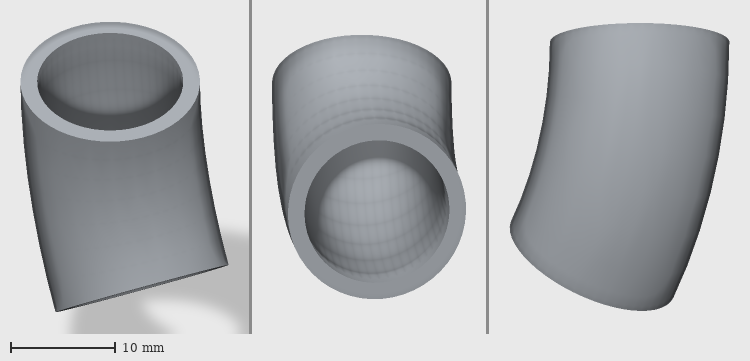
import cadquery as cq
import math

height = 25.88
outer_diameter = 17.2
wall = 1.6
bend_angle = 45.0

inner_diameter = outer_diameter - 2 * wall
bend_radius = height / math.sin(math.radians(bend_angle)) - outer_diameter / 2

result = (
    cq.Workplane("XY")
    .circle(outer_diameter / 2)
    .circle(inner_diameter / 2)
    .revolve(bend_angle, (bend_radius, 0, 0), (bend_radius, -1, 0))
)